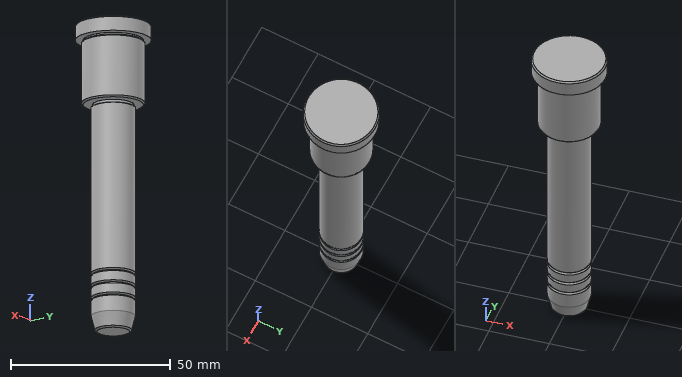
import cadquery as cq

total_length = 100.0
head_thickness = 5.0
collar_length = 21.0
tip_length = 5.0

head_radius = 12.0
collar_radius = 10.0
shank_radius = 7.0
tip_radius = 5.7

edge_chamfer = 0.5
neck_length = 0.5
relief_width = 1.0
relief_depth = 0.5
groove_width = 1.0
groove_depth = 0.5
groove_pitch = 4.0
groove_count = 3
first_groove_bottom = 10.0

head_bottom = total_length - head_thickness
collar_bottom = head_bottom - collar_length


def cylinder(radius, bottom, height):
    """Solid cylinder on the Z axis."""
    return cq.Workplane("XY").workplane(offset=bottom).circle(radius).extrude(height)


def ring_groove(outer_radius, depth, bottom, width):
    """Square-cornered ring to cut from a cylinder of the given radius."""
    ring = cylinder(outer_radius, bottom, width)
    return ring.cut(cylinder(outer_radius - depth, bottom, width))


def vee_groove(outer_radius, depth, bottom, width):
    """Symmetric V-shaped ring to cut from a cylinder of the given radius."""
    profile = [
        (outer_radius, bottom),
        (outer_radius - depth, bottom + width / 2),
        (outer_radius, bottom + width),
    ]
    return cq.Workplane("XZ").polyline(profile).close().revolve(360, (0, 0, 0), (0, 1, 0))


def make_head():
    head = cylinder(head_radius, head_bottom, head_thickness)
    return head.faces(">Z").edges().chamfer(edge_chamfer)


def make_collar():
    """Collar chamfered at both ends, with a short neck beneath the head."""
    body_length = collar_length - neck_length
    collar = cylinder(collar_radius, collar_bottom, body_length).edges().chamfer(edge_chamfer)
    neck = cylinder(collar_radius - edge_chamfer, collar_bottom + body_length, neck_length)
    return collar.union(neck)


def make_shank():
    """Shank with a relief beneath the collar and evenly spaced V grooves."""
    shank = cylinder(shank_radius, tip_length, collar_bottom - tip_length)
    relief_bottom = collar_bottom - relief_width
    shank = shank.cut(ring_groove(shank_radius, relief_depth, relief_bottom, relief_width))
    for index in range(groove_count):
        bottom = first_groove_bottom + index * groove_pitch
        shank = shank.cut(vee_groove(shank_radius, groove_depth, bottom, groove_width))
    return shank


def make_tip():
    """Tapered lead-in with a chamfered end."""
    cone = cq.Solid.makeCone(tip_radius, shank_radius, tip_length)
    return cq.Workplane(cone).faces("<Z").edges().chamfer(edge_chamfer)


result = make_head().union(make_collar()).union(make_shank()).union(make_tip())